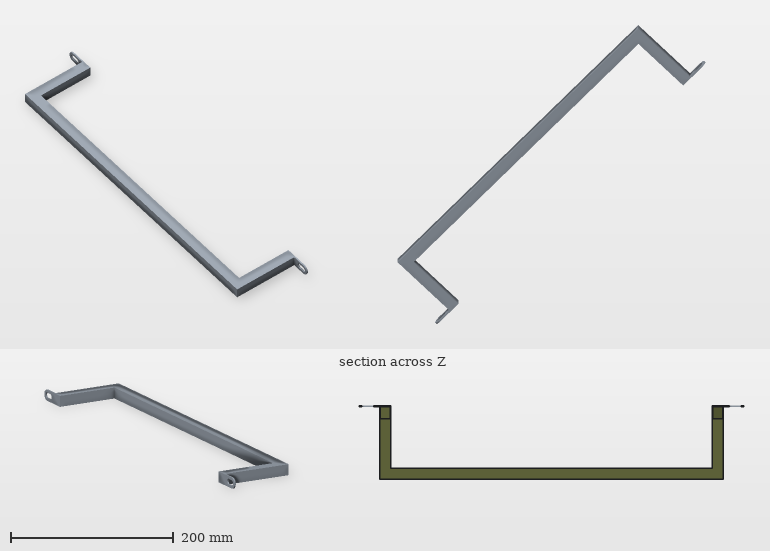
import cadquery as cq

overall_length = 473.0
overall_depth = 91.0
bar_size = 14.0

plate_thickness = 2.0
plate_overhang = 25.0
slot_length = 14.5
slot_margin = 3.5

pin_diameter = 12.0
pin_length = 14.0

sides = (-1, 1)
half_length = overall_length / 2
half_bar = bar_size / 2
leg_outer_x = half_length - plate_overhang
leg_inner_x = leg_outer_x - bar_size
leg_center_x = leg_outer_x - half_bar
leg_end_y = overall_depth - plate_thickness
slot_height = bar_size - 2 * slot_margin
slot_center_x = half_length - slot_margin - slot_length / 2


def make_pin(side):
    """Round pin sunk in one leg end, with its rear face against the plate."""
    return (
        cq.Workplane("XZ", origin=(side * leg_center_x, leg_end_y, 0))
        .circle(pin_diameter / 2)
        .extrude(pin_length)
    )


def make_handle():
    """Solid square bar in a U shape, with a blind hole for a pin in each leg end."""
    bar = (
        cq.Workplane("XY")
        .moveTo(-leg_outer_x, leg_end_y)
        .lineTo(-leg_outer_x, 0)
        .lineTo(leg_outer_x, 0)
        .lineTo(leg_outer_x, leg_end_y)
        .lineTo(leg_inner_x, leg_end_y)
        .lineTo(leg_inner_x, bar_size)
        .lineTo(-leg_inner_x, bar_size)
        .lineTo(-leg_inner_x, leg_end_y)
        .close()
        .extrude(half_bar, both=True)
    )
    for side in sides:
        bar = bar.cut(make_pin(side))
    return bar


def make_plate(side):
    """Thin plate across one leg end, with a slotted, round-ended ear that points outward."""
    inner_x = side * leg_inner_x
    arc_start_x = side * (half_length - half_bar)
    blank = (
        cq.Workplane("XZ", origin=(0, overall_depth, 0))
        .moveTo(inner_x, -half_bar)
        .lineTo(arc_start_x, -half_bar)
        .threePointArc((side * half_length, 0), (arc_start_x, half_bar))
        .lineTo(inner_x, half_bar)
        .close()
        .extrude(plate_thickness)
    )
    slot = (
        cq.Workplane("XZ", origin=(side * slot_center_x, overall_depth, 0))
        .slot2D(slot_length, slot_height)
        .extrude(plate_thickness)
    )
    return blank.cut(slot)


handle = make_handle()
plates = [make_plate(side) for side in sides]
pins = [make_pin(side) for side in sides]

bodies = [handle] + plates + pins
result = cq.Compound.makeCompound([body.solids().val() for body in bodies])